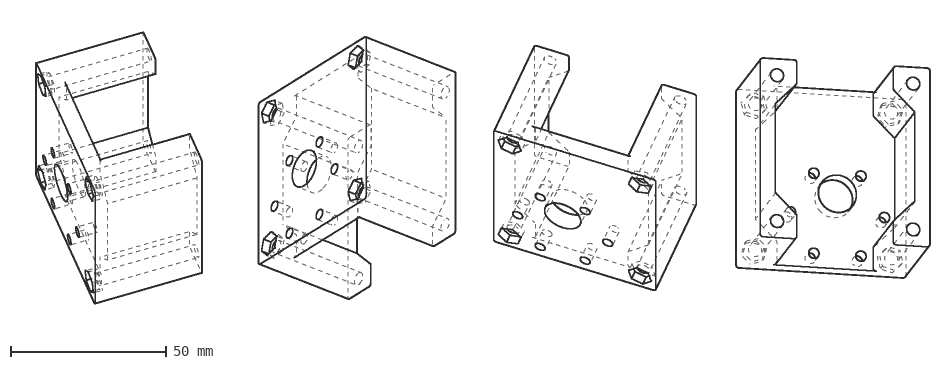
import cadquery as cq
import math

WIDTH = 55.95
DEPTH = 36.65
HEIGHT = 60.0
PLATE_THICKNESS = 6.0
EDGE_RADIUS = 1.0
SELECTION_MARGIN = 0.1

RAIL_WIDTH = 12.075
RAIL_HEIGHT = 8.0
SIDE_WALL_THICKNESS = 5.0

BOLT_INSET = 5.55
BOLT_DIAMETER = 4.3
NUT_ACROSS_FLATS = 7.0
NUT_RECESS_DEPTH = 3.0
NUT_CORNERS = 6
NUT_TILT = 45.0

MOTOR_X = -4.155
MOTOR_Z = 18.155
SCREW_COUNT = 6
SCREW_CIRCLE_DIAMETER = 31.0
SCREW_DIAMETER = 3.4
SHAFT_OFFSET = 7.0
SHAFT_HOLE_DIAMETER = 12.5


def front_plane():
    """Workplane on the front face, local axes X and Z, facing -Y."""
    return cq.Workplane("XZ")


def make_block():
    block = front_plane().rect(WIDTH, HEIGHT).extrude(-DEPTH)
    block = block.edges("|Y").fillet(EDGE_RADIUS)
    return block.translate((0, 0, HEIGHT / 2))


def make_cavity():
    """Slot behind the plate between the rails, widened to an octagon between the side walls."""
    rail_gap = WIDTH - 2 * RAIL_WIDTH
    wall_gap = WIDTH - 2 * SIDE_WALL_THICKNESS
    rail_overhang = RAIL_WIDTH - SIDE_WALL_THICKNESS
    rail_spacing = HEIGHT - 2 * RAIL_HEIGHT
    cavity_depth = DEPTH - PLATE_THICKNESS
    slot = front_plane().rect(rail_gap, HEIGHT).extrude(-cavity_depth)
    widening = front_plane().rect(wall_gap, rail_spacing).extrude(-cavity_depth)
    widening = widening.edges("|Y").chamfer(rail_overhang)
    return slot.union(widening).translate((0, PLATE_THICKNESS, HEIGHT / 2))


def round_rail_edges(body):
    """Round the two inner edges of every rail."""
    rail_x = WIDTH / 2 - RAIL_WIDTH
    lower = (-rail_x - SELECTION_MARGIN, PLATE_THICKNESS, -SELECTION_MARGIN)
    upper = (rail_x + SELECTION_MARGIN, DEPTH, HEIGHT + SELECTION_MARGIN)
    return body.edges("|Y").edges(cq.selectors.BoxSelector(lower, upper)).fillet(EDGE_RADIUS)


def bolt_positions():
    bolt_x = WIDTH / 2 - BOLT_INSET
    return [(x, z) for x in (-bolt_x, bolt_x) for z in (BOLT_INSET, HEIGHT - BOLT_INSET)]


def make_nut_recess(x, z):
    radius = NUT_ACROSS_FLATS / (2 * math.cos(math.pi / NUT_CORNERS))
    toward_left = x < 0
    toward_top = z > HEIGHT / 2
    tilt = NUT_TILT if toward_left == toward_top else -NUT_TILT
    hexagon = front_plane().polygon(NUT_CORNERS, 2 * radius).extrude(-NUT_RECESS_DEPTH)
    return hexagon.rotate((0, 0, 0), (0, -1, 0), tilt).translate((x, 0, z))


def make_hole(x, z, diameter, length):
    return front_plane().center(x, z).circle(diameter / 2).extrude(-length)


def cut_bolts(body):
    for x, z in bolt_positions():
        body = body.cut(make_hole(x, z, BOLT_DIAMETER, DEPTH))
        body = body.cut(make_nut_recess(x, z))
    return body


def cut_motor_mount(body):
    """Screw holes and shaft hole, through the front plate only."""
    for index in range(SCREW_COUNT):
        angle = 2 * math.pi * index / SCREW_COUNT
        x = MOTOR_X + SCREW_CIRCLE_DIAMETER / 2 * math.cos(angle)
        z = MOTOR_Z + SCREW_CIRCLE_DIAMETER / 2 * math.sin(angle)
        body = body.cut(make_hole(x, z, SCREW_DIAMETER, PLATE_THICKNESS))
    shaft_z = MOTOR_Z + SHAFT_OFFSET
    return body.cut(make_hole(MOTOR_X, shaft_z, SHAFT_HOLE_DIAMETER, PLATE_THICKNESS))


bracket = make_block().cut(make_cavity())
bracket = round_rail_edges(bracket)
bracket = cut_bolts(bracket)
result = cut_motor_mount(bracket)